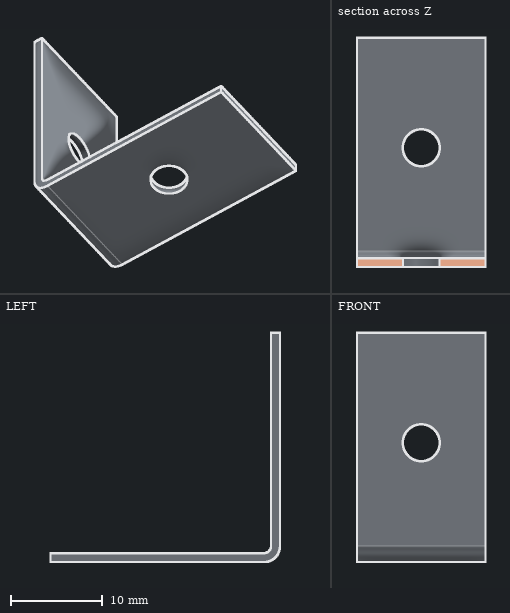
import cadquery as cq

width = 14.0
leg_length = 25.0
thickness = 1.0
inner_bend_radius = 0.75
hole_diameter = 4.0
hole_from_end = 12.0

outer_bend_radius = inner_bend_radius + thickness
hole_position = leg_length - hole_from_end


def bent_sheet():
    """L-shaped sheet with its outer corner on the X axis, centred in X."""
    profile = (
        cq.Workplane("YZ")
        .moveTo(outer_bend_radius, 0)
        .lineTo(leg_length, 0)
        .lineTo(leg_length, thickness)
        .lineTo(outer_bend_radius, thickness)
        .radiusArc((thickness, outer_bend_radius), inner_bend_radius)
        .lineTo(thickness, leg_length)
        .lineTo(0, leg_length)
        .lineTo(0, outer_bend_radius)
        .radiusArc((outer_bend_radius, 0), -outer_bend_radius)
        .close()
    )
    return profile.extrude(width / 2, both=True)


def hole_cutter(center, direction):
    """Cylinder through one sheet thickness, starting on its outer face."""
    return cq.Workplane(
        cq.Solid.makeCylinder(
            hole_diameter / 2, thickness, cq.Vector(*center), cq.Vector(*direction)
        )
    )


base_hole = hole_cutter((0, hole_position, 0), (0, 0, 1))
wall_hole = hole_cutter((0, 0, hole_position), (0, 1, 0))

result = bent_sheet().cut(base_hole).cut(wall_hole)